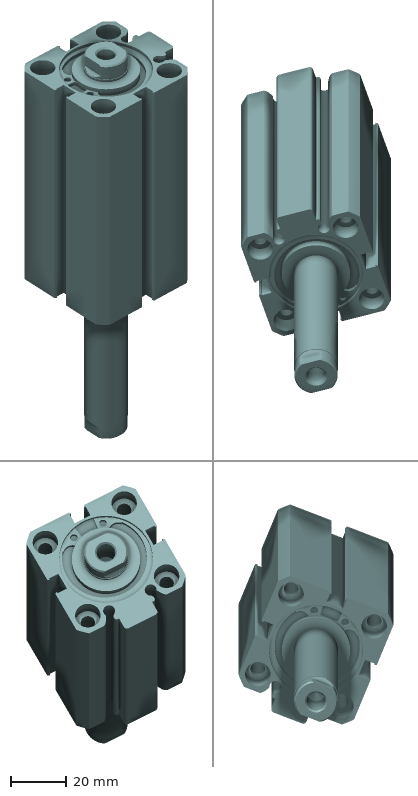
import cadquery as cq
import math

body_width = 45.0
body_length = 93.0
corner_diameter = 59.0
overall_depth = 50.0
bore_diameter = 34.0

rib_width = 13.6
rib_edge_radius = 1.2

hole_pitch = 32.4
hole_diameter = 5.2
counterbore_diameter = 9.2
counterbore_depth = 7.0

slot_width = 6.5
slot_mouth_inner_width = 5.3
slot_mouth_outer_width = 6.1
slot_depth = 4.65
slot_lip = 0.8

sensor_x = 8.55
sensor_y = 18.2
sensor_radius = 2.15
knob_x = 8.25
knob_low_y = 20.9
knob_bevel = 0.5
neck_inner = (7.1, 19.6)
neck_outer = (10.1, 18.7)
flank_bend = (11.3, 20.9)
mouth_outer_x = 12.9

groove_diameter = 35.2
groove_offset = 1.3
ring_thickness = 1.5
ring_opening_radius = 15.4
ring_opening_shift = 1.2
scallop_x = 9.4
scallop_y = 8.2
scallop_radius = 3.3
lug_clearance = 0.2
lug_hole_x = 6.0
lug_hole_y = 13.4
lug_hole_diameter = 2.7
gap_inner_width = 6.6
gap_outer_width = 8.0

cover_length = 15.0
collar_diameter = 24.8

rod_diameter = 16.0
rod_top_projection = 7.0
rod_bottom_projection = 67.0
tip_diameter = 15.6
tip_length = 6.0
tip_chamfer = 0.5
flat_width = 13.0
flat_length = 4.6
thread_core_diameter = 6.8
thread_mouth_diameter = 8.0
thread_depth = 13.0
drill_point_angle = 118.0

half_width = body_width / 2
half_pitch = hole_pitch / 2
rib_back_y = overall_depth - half_width
collar_radius = collar_diameter / 2
groove_depth = groove_offset + ring_thickness


def cylinder(diameter, bottom, height):
    """Upright cylinder on the main axis."""
    return cq.Workplane("XY").workplane(offset=bottom).circle(diameter / 2).extrude(height)


def flip_end_for_end(shape):
    """Mirror a shape at one end of the housing onto the other end."""
    middle = body_length / 2
    return shape.mirror("XY", (0, 0, middle))


def lipped_slot():
    """Full-length slot in the -Y face, narrowed by a tapered lip on each side of its mouth."""
    floor_y = -half_width + slot_depth
    lip_y = -half_width + slot_lip
    pocket = (
        cq.Workplane("XY")
        .center(0, (floor_y + lip_y) / 2)
        .rect(slot_width, floor_y - lip_y)
        .extrude(body_length)
    )
    mouth = (
        cq.Workplane("XY")
        .polyline([
            (-slot_mouth_inner_width / 2, lip_y),
            (slot_mouth_inner_width / 2, lip_y),
            (slot_mouth_outer_width / 2, -half_width),
            (-slot_mouth_outer_width / 2, -half_width),
        ])
        .close()
        .extrude(body_length)
    )
    return pocket.union(mouth)


def sensor_slot():
    """Round-bottomed slot on the +X side of the rib, entered past a knob on the rib's root."""
    channel = cq.Workplane("XY").center(sensor_x, sensor_y).circle(sensor_radius).extrude(body_length)
    mouth = (
        cq.Workplane("XY")
        .moveTo(*neck_outer)
        .lineTo(*flank_bend)
        .tangentArcPoint((mouth_outer_x, half_width), relative=False)
        .lineTo(knob_x - knob_bevel, half_width)
        .lineTo(knob_x, half_width - knob_bevel)
        .lineTo(knob_x, knob_low_y)
        .lineTo(*neck_inner)
        .close()
        .extrude(body_length)
    )
    return channel.union(mouth)


def mounting_holes():
    """Four through holes, counterbored from both ends."""
    corners = [(x, y) for x in (-half_pitch, half_pitch) for y in (-half_pitch, half_pitch)]
    through = cq.Workplane("XY").pushPoints(corners).circle(hole_diameter / 2).extrude(body_length)
    lower = cq.Workplane("XY").pushPoints(corners).circle(counterbore_diameter / 2).extrude(counterbore_depth)
    return through.union(lower).union(flip_end_for_end(lower))


def make_housing():
    block = cq.Workplane("XY").rect(body_width, body_width).extrude(body_length)
    block = block.intersect(cylinder(corner_diameter, 0, body_length))
    rib = (
        cq.Workplane("XY")
        .center(0, rib_back_y / 2)
        .rect(rib_width, rib_back_y)
        .extrude(body_length)
        .edges("|Z and >Y")
        .fillet(rib_edge_radius)
    )
    housing = block.union(rib)

    for angle in (-90, 0, 90):
        housing = housing.cut(lipped_slot().rotate((0, 0, 0), (0, 0, 1), angle))

    housing = housing.cut(sensor_slot()).cut(sensor_slot().mirror("YZ"))
    housing = housing.cut(mounting_holes())

    housing = housing.cut(cylinder(bore_diameter, 0, body_length))
    lower_groove = cylinder(groove_diameter, groove_offset, ring_thickness)
    return housing.cut(lower_groove).cut(flip_end_for_end(lower_groove))


def make_upper_ring():
    """Internal retaining ring with two drilled lugs that reach in to the cover collar."""
    base = body_length - groove_depth
    plane = cq.Workplane("XY").workplane(offset=base)

    sector_y = -groove_diameter
    sector_x = groove_diameter * scallop_x / scallop_y
    lug_sector = (
        plane.polyline([(0, 0), (sector_x, sector_y), (-sector_x, sector_y)])
        .close()
        .extrude(ring_thickness)
    )
    opening = plane.center(0, -ring_opening_shift).circle(ring_opening_radius).extrude(ring_thickness)
    scallops = (
        plane.pushPoints([(-scallop_x, -scallop_y), (scallop_x, -scallop_y)])
        .circle(scallop_radius)
        .extrude(ring_thickness)
    )
    collar_space = plane.circle(collar_radius + lug_clearance).extrude(ring_thickness)

    ring_outer_y = -groove_diameter / 2
    gap = (
        plane.polyline([
            (-gap_inner_width / 2, -collar_radius),
            (gap_inner_width / 2, -collar_radius),
            (gap_outer_width / 2, ring_outer_y),
            (-gap_outer_width / 2, ring_outer_y),
        ])
        .close()
        .extrude(ring_thickness)
    )
    lug_holes = (
        plane.pushPoints([(-lug_hole_x, -lug_hole_y), (lug_hole_x, -lug_hole_y)])
        .circle(lug_hole_diameter / 2)
        .extrude(ring_thickness)
    )
    ring = cylinder(groove_diameter, base, ring_thickness)
    ring = ring.cut(opening.cut(lug_sector)).cut(scallops).cut(collar_space)
    return ring.cut(gap).cut(lug_holes)


def make_upper_cover():
    """Plug in the bore below the ring, with a collar flush with the housing end face."""
    bottom = body_length - cover_length
    plug = cylinder(bore_diameter, bottom, cover_length - groove_depth)
    collar = cylinder(collar_diameter, bottom, cover_length)
    return plug.union(collar).cut(cylinder(rod_diameter, bottom, cover_length))


def rod_end_cutter(tip_z):
    """Material removed at the upper rod end: turned step, two flats and a tapped hole."""
    rod_radius = rod_diameter / 2
    half_flat = flat_width / 2
    tip_base = tip_z - tip_length
    flat_base = tip_z - flat_length

    tip = cylinder(tip_diameter, tip_base, tip_length).faces(">Z").chamfer(tip_chamfer)
    cutter = cylinder(2 * rod_diameter, tip_base, tip_length).cut(tip)

    runout = rod_radius - half_flat
    flat = (
        cq.Workplane("YZ")
        .polyline([
            (half_flat, tip_z),
            (half_flat, flat_base),
            (rod_radius, flat_base - runout),
            (rod_radius, tip_z),
        ])
        .close()
        .extrude(rod_radius, both=True)
    )
    cutter = cutter.union(flat).union(flat.mirror("XZ"))

    core_radius = thread_core_diameter / 2
    mouth_radius = thread_mouth_diameter / 2
    point_length = core_radius / math.tan(math.radians(drill_point_angle / 2))
    hole = (
        cq.Workplane("XZ")
        .polyline([
            (0, tip_z),
            (mouth_radius, tip_z),
            (core_radius, tip_z - (mouth_radius - core_radius)),
            (core_radius, tip_z - thread_depth),
            (0, tip_z - thread_depth - point_length),
        ])
        .close()
        .revolve(360, (0, 0, 0), (0, 1, 0))
    )
    return cutter.union(hole)


def make_rod():
    top_z = body_length + rod_top_projection
    rod_length = top_z + rod_bottom_projection
    rod = cylinder(rod_diameter, -rod_bottom_projection, rod_length)
    cutter = rod_end_cutter(top_z)
    middle = (top_z - rod_bottom_projection) / 2
    return rod.cut(cutter).cut(cutter.mirror("XY", (0, 0, middle)))


housing = make_housing()
rod = make_rod()
upper_cover = make_upper_cover()
upper_ring = make_upper_ring()
bodies = [housing.solids().val(), rod.solids().val()]
for upper_part in (upper_cover, upper_ring):
    bodies.append(upper_part.solids().val())
    bodies.append(flip_end_for_end(upper_part).solids().val())

result = cq.Compound.makeCompound(bodies)